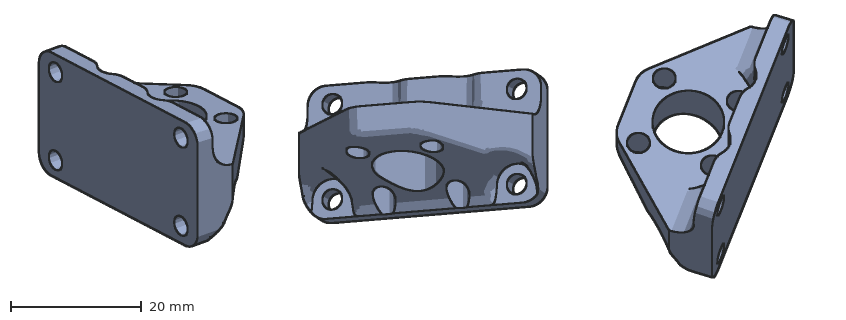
import cadquery as cq
import math

plate_width = 38.0
plate_height = 21.0
plate_thickness = 3.0
plate_corner_radius = 3.0
plate_hole_diameter = 3.2
plate_hole_x = 15.0
plate_hole_inset_z = 3.0
half_width = plate_width / 2

shelf_top_z = 12.85
shelf_depth = 20.5
shelf_front_width = 11.4
shelf_front_corner_radius = 4.0
shelf_edge_radius = 2.0
top_fillet_radius = 4.0
taper_start_y = plate_thickness + top_fillet_radius

underside_angle = math.radians(15.0)
bend_start_y = 8.2
bend_start_z = 4.36

bore_diameter = 11.0
bore_y = 10.5
motor_hole_diameter = 3.5
motor_hole_offset = 6.0
motor_hole_rear_y = bore_y - motor_hole_offset

motor_head_radius = 2.8
motor_rim_radius = 3.2
plate_head_radius = 3.2
plate_rim_radius = 1.7

stock = 5.0
selection_gap = 0.1


def box(x_range, y_range, z_range):
    ranges = (x_range, y_range, z_range)
    sizes = [high - low for low, high in ranges]
    corner = tuple(low for low, high in ranges)
    return cq.Workplane("XY").box(*sizes, centered=False).translate(corner)


def y_cylinder(x, z, radius, y_start, y_end):
    return cq.Workplane("XZ", origin=(x, y_start, z)).circle(radius).extrude(y_start - y_end)


def z_cylinder(x, y, radius, z_start, z_end):
    return cq.Workplane("XY", origin=(x, y, z_start)).circle(radius).extrude(z_end - z_start)


def shelf_plan():
    """Tapered prism; its sides run on past the plate as stock."""
    half_front = shelf_front_width / 2
    spread_per_depth = (half_width - half_front) / (shelf_depth - taper_start_y)
    half_back = half_width + spread_per_depth * (taper_start_y + stock)
    return (
        cq.Workplane("XY", origin=(0, 0, -plate_height))
        .moveTo(-half_back, -stock)
        .lineTo(half_back, -stock)
        .lineTo(half_front, shelf_depth)
        .lineTo(-half_front, shelf_depth)
        .close()
        .extrude(2 * plate_height)
        .edges("|Z and >Y")
        .fillet(shelf_front_corner_radius)
    )


def shelf_profile():
    """Side outline: flat top, sloping underside and the bend toward the plate."""
    sine = math.sin(underside_angle)
    cosine = math.cos(underside_angle)
    front_z = bend_start_z + (shelf_depth - bend_start_y) * math.tan(underside_angle)
    run = bend_start_y - plate_thickness
    rise = bend_start_z
    bend_radius = (run**2 + rise**2) / (2 * (rise * cosine - run * sine))
    bend_end_y = bend_start_y + bend_radius * sine - bend_radius
    bend_end_z = bend_start_z - bend_radius * cosine
    return (
        cq.Workplane("YZ", origin=(-plate_width, 0, 0))
        .moveTo(-stock, shelf_top_z)
        .lineTo(shelf_depth, shelf_top_z)
        .lineTo(shelf_depth, front_z)
        .lineTo(bend_start_y, bend_start_z)
        .tangentArcPoint((bend_end_y, bend_end_z), relative=False)
        .lineTo(bend_end_y, bend_end_z - stock)
        .lineTo(-stock, bend_end_z - stock)
        .close()
        .extrude(2 * plate_width)
    )


def make_shelf():
    shelf = shelf_profile().intersect(shelf_plan())
    shelf = shelf.faces(">Y").edges("<Z").fillet(shelf_edge_radius)
    for side in (-1, 1):
        clearance = y_cylinder(
            side * plate_hole_x, plate_hole_inset_z, plate_head_radius, -2 * stock, shelf_depth
        )
        shelf = shelf.cut(clearance)

    reach = plate_head_radius + selection_gap
    rims = []
    for side in (-1, 1):
        around_clearance = cq.selectors.BoxSelector(
            (side * plate_hole_x - reach, 0, plate_hole_inset_z - reach),
            (side * plate_hole_x + reach, shelf_depth, plate_hole_inset_z + reach),
            boundingbox=True,
        )
        rims += shelf.edges(around_clearance).vals()
    shelf = shelf.newObject(rims).fillet(plate_rim_radius)
    return shelf.intersect(box((-half_width, half_width), (0, shelf_depth), (0, plate_height)))


def motor_head_pocket(bottom_z):
    """Room for the two rear motor screw heads and the space between them."""
    pocket = box(
        (-motor_hole_offset, motor_hole_offset),
        (plate_thickness, motor_hole_rear_y + motor_head_radius),
        (bottom_z, plate_height),
    )
    for side in (-1, 1):
        head = z_cylinder(
            side * motor_hole_offset, motor_hole_rear_y, motor_head_radius, bottom_z, plate_height
        )
        pocket = pocket.union(head)
    return pocket


def make_upper_wall():
    """Part of the plate above the shelf, with its fillet and the motor screw head pocket."""
    bottom_z = shelf_top_z - stock
    wall = (
        cq.Workplane("YZ", origin=(-half_width, 0, 0))
        .moveTo(0, bottom_z)
        .lineTo(0, plate_height)
        .lineTo(plate_thickness, plate_height)
        .lineTo(plate_thickness, shelf_top_z + top_fillet_radius)
        .radiusArc((taper_start_y, shelf_top_z), -top_fillet_radius)
        .lineTo(shelf_depth, shelf_top_z)
        .lineTo(shelf_depth, bottom_z)
        .close()
        .extrude(plate_width)
    )
    wall = wall.cut(motor_head_pocket(bottom_z))

    reach = motor_hole_offset + motor_head_radius
    pocket_corners = cq.selectors.BoxSelector(
        (-reach, plate_thickness - selection_gap, bottom_z),
        (reach, plate_thickness + selection_gap, plate_height),
    )
    wall = wall.edges("|Z").edges(pocket_corners).fillet(motor_rim_radius)
    above_shelf = box((-half_width, half_width), (0, taper_start_y), (shelf_top_z, plate_height))
    return wall.intersect(above_shelf)


def make_lower_plate():
    return box((-half_width, half_width), (0, plate_thickness), (0, shelf_top_z))


def plate_outline():
    return (
        cq.Workplane("XZ", origin=(0, 0, plate_height / 2))
        .rect(plate_width, plate_height)
        .extrude(-shelf_depth)
        .edges("|Y")
        .fillet(plate_corner_radius)
    )


def cut_plate_holes(body):
    for x in (-plate_hole_x, plate_hole_x):
        for z in (plate_hole_inset_z, plate_height - plate_hole_inset_z):
            body = body.cut(y_cylinder(x, z, plate_hole_diameter / 2, 0, shelf_depth))
    return body


def cut_motor_holes(body):
    body = body.cut(z_cylinder(0, bore_y, bore_diameter / 2, 0, plate_height))
    for x in (-motor_hole_offset, motor_hole_offset):
        for y in (bore_y - motor_hole_offset, bore_y + motor_hole_offset):
            body = body.cut(z_cylinder(x, y, motor_hole_diameter / 2, 0, plate_height))
    return body


bracket = make_shelf().union(make_lower_plate()).union(make_upper_wall())
bracket = bracket.intersect(plate_outline())
result = cut_motor_holes(cut_plate_holes(bracket))